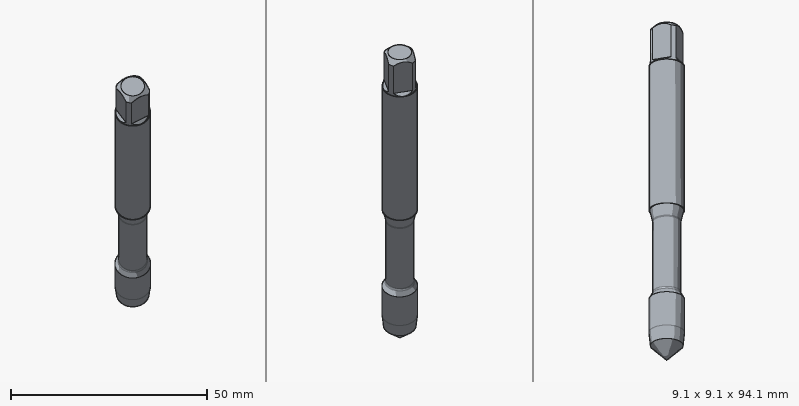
import math

import cadquery as cq

total_length = 94.1

head_dia = 9.1
point_dia = 8.4
point_height = point_dia / 2
lead_top = 7.8
head_shoulder_bottom = 17.2
head_shoulder_angle = math.radians(30)

neck_dia = 7.2
neck_fillet_radius = 1.2
shank_dia = 9.0
taper_bottom = 39.1
taper_top = 42.3
taper_top_dia = 8.7
shank_top = 83.0

square_corner_dia = 8.7
square_width = 7.1
square_ramp_rise = (square_corner_dia - square_width) / 2
square_bottom = shank_top + square_ramp_rise
end_face_dia = 6.0
end_chamfer_height = (square_corner_dia - end_face_dia) / 2

neck_radius = neck_dia / 2
head_shoulder_height = (head_dia - neck_dia) / 2 / math.tan(head_shoulder_angle)
head_shoulder_top = head_shoulder_bottom + head_shoulder_height
head_fillet_length = neck_fillet_radius * math.tan(head_shoulder_angle / 2)
taper_angle = math.atan2((taper_top_dia - neck_dia) / 2, taper_top - taper_bottom)
taper_fillet_length = neck_fillet_radius * math.tan(taper_angle / 2)


def fillet_points(corner_height, cone_angle, tangent_length, cone_direction):
    """Neck end, middle and cone end of the fillet; the cone rises for direction 1, falls for -1."""
    half_angle = cone_angle / 2
    center_radius = neck_radius + neck_fillet_radius
    neck_height = corner_height - cone_direction * tangent_length

    def point_at(angle):
        return (
            center_radius - neck_fillet_radius * math.cos(angle),
            neck_height + cone_direction * neck_fillet_radius * math.sin(angle),
        )

    return point_at(0), point_at(half_angle), point_at(cone_angle)


def revolve_about_axis(outline):
    """Revolve a closed (radius, height) outline about the Z axis."""
    return outline.close().revolve(360, (0, 0), (0, 1))


def make_cutting_body():
    """Pointed head with a tapered lead, and a slim neck that widens in a taper towards the shank."""
    head_neck_end, head_middle, head_cone_end = fillet_points(
        head_shoulder_top, head_shoulder_angle, head_fillet_length, -1
    )
    taper_neck_end, taper_middle, taper_cone_end = fillet_points(
        taper_bottom, taper_angle, taper_fillet_length, 1
    )
    outline = (
        cq.Workplane("XZ")
        .lineTo(point_dia / 2, point_height)
        .lineTo(head_dia / 2, lead_top)
        .lineTo(head_dia / 2, head_shoulder_bottom)
        .lineTo(*head_cone_end)
        .threePointArc(head_middle, head_neck_end)
        .lineTo(*taper_neck_end)
        .threePointArc(taper_middle, taper_cone_end)
        .lineTo(taper_top_dia / 2, taper_top)
        .lineTo(0, taper_top)
    )
    return revolve_about_axis(outline)


def make_flat_cutter():
    """Wedge that cuts the +X flat and its sloping run-out."""
    inner = square_width / 2
    outer = square_corner_dia / 2
    profile = [
        (inner, total_length),
        (inner, square_bottom),
        (outer, shank_top),
        (outer, total_length),
    ]
    return cq.Workplane("XZ").polyline(profile).close().extrude(shank_dia / 2, both=True)


def make_shank():
    """Shank with a driving square at its end."""
    outline = (
        cq.Workplane("XZ")
        .moveTo(0, taper_top)
        .lineTo(shank_dia / 2, taper_top)
        .lineTo(shank_dia / 2, shank_top)
        .lineTo(square_corner_dia / 2, shank_top)
        .lineTo(square_corner_dia / 2, total_length - end_chamfer_height)
        .lineTo(end_face_dia / 2, total_length)
        .lineTo(0, total_length)
    )
    shank = revolve_about_axis(outline)
    flat_cutter = make_flat_cutter()
    for angle in range(0, 360, 90):
        shank = shank.cut(flat_cutter.rotate((0, 0, 0), (0, 0, 1), angle))
    return shank


cutting_body = make_cutting_body()
shank = make_shank()

result = cq.Compound.makeCompound([cutting_body.val(), shank.val()])